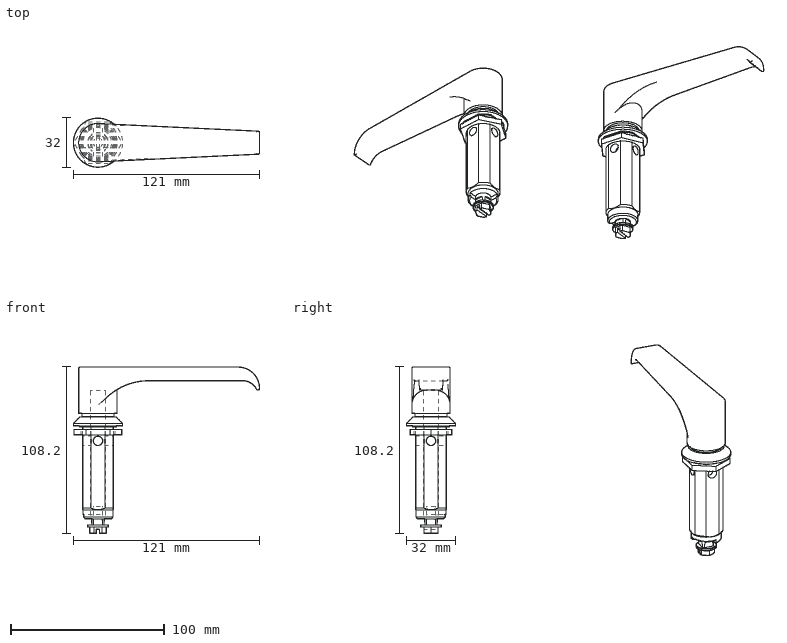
import cadquery as cq
import math


flange_radius = 16.0
rim_height = 1.5
flange_height = 5.8
cone_top_radius = flange_radius - (flange_height - rim_height)
barrel_radius = 11.0
barrel_flats = 20.0
barrel_length = 54.7
barrel_chamfer = 1.2
collar_radius = barrel_radius - barrel_chamfer
collar_end = 60.4
collar_chamfer = 1.0
notch_depth = 2.8
notch_offset = 3.0
cross_hole_diameter = 6.0
cross_hole_drop = 9.8

gasket_radius = 13.5
gasket_flats = 24.0
gasket_thickness = 0.8
nut_flats = 27.0
nut_top = -2.3
nut_thickness = 3.7

spindle_radius = 5.0
square_root = 8.4
square_tip = 7.9
spindle_end = 64.3
spindle_top = 23.0

washer_radius = 6.7
washer_thickness = 1.6
washer_chamfer = 0.3
screw_flats = 9.4
screw_head_height = 4.05
screw_head_chamfer = 0.4
screw_thread_radius = 3.0
screw_reach = 12.0
slot_width = 2.0
slot_depth = 2.7

running_gap = 0.2
neck_radius = 10.5
neck_height = 2.0
hub_radius = 12.5
hub_height = 30.2
arm_tip_x = 105.0
arm_tip_half_width = 7.5
arm_thickness = 9.0
underside_radius = 40.0
underside_start_x = 33.0
tip_outer_radius = 14.0
tip_inner_radius = 10.0
tip_inner_start_x = 94.0
tip_inner_end_x = 103.0
tip_nose_radius = 1.15
top_fillet = 1.0
lower_fillet = 0.7
root_clearance = 1.0
selection_margin = 0.1


def disc(radius, top, height):
    """Round disc on the spindle axis, reaching down from its top."""
    return cq.Workplane("XY").workplane(offset=top).circle(radius).extrude(-height)


def flatted_disc(radius, flats, top, height):
    """Round disc with four flats, square to X and Y."""
    block = cq.Workplane("XY").workplane(offset=top).rect(flats, flats).extrude(-height)
    return disc(radius, top, height).intersect(block)


def hexagon(flats, top, height):
    """Hexagonal prism with two corners on the X axis."""
    corner_diameter = flats / math.cos(math.pi / 6)
    return cq.Workplane("XY").workplane(offset=top).polygon(6, corner_diameter).extrude(-height)


def make_housing():
    flange = (
        cq.Workplane("XZ")
        .moveTo(0, 0)
        .lineTo(flange_radius, 0)
        .lineTo(flange_radius, rim_height)
        .lineTo(cone_top_radius, flange_height)
        .lineTo(0, flange_height)
        .close()
        .revolve(360, (0, 0, 0), (0, 1, 0))
    )
    barrel_block = cq.Workplane("XY").rect(barrel_flats, barrel_flats).extrude(-barrel_length)
    barrel = disc(barrel_radius, 0, barrel_length).faces("<Z").chamfer(barrel_chamfer)
    barrel = barrel.intersect(barrel_block)

    collar = disc(collar_radius, -barrel_length, collar_end - barrel_length)
    collar = collar.faces("<Z").chamfer(collar_chamfer)
    notch_size = 2 * flange_radius
    notch = (
        cq.Workplane("XY")
        .box(notch_size, notch_size, notch_depth, centered=False)
        .translate((notch_offset - notch_size, -notch_offset, -collar_end))
    )
    collar = collar.cut(notch)

    housing = flange.union(barrel).union(collar)
    for plane in ("XZ", "YZ"):
        cross_hole = (
            cq.Workplane(plane)
            .center(0, -cross_hole_drop)
            .circle(cross_hole_diameter / 2)
            .extrude(barrel_radius, both=True)
        )
        housing = housing.cut(cross_hole)
    return housing.cut(disc(spindle_radius, flange_height, flange_height + collar_end))


def make_gasket():
    outer = flatted_disc(gasket_radius, gasket_flats, 0, gasket_thickness)
    return outer.cut(flatted_disc(barrel_radius, barrel_flats, 0, gasket_thickness))


def make_nut():
    return hexagon(nut_flats, nut_top, nut_thickness).cut(disc(barrel_radius, nut_top, nut_thickness))


def make_spindle():
    round_part = disc(spindle_radius, spindle_top, spindle_top + collar_end)
    square_length = spindle_end - collar_end
    tapered_square = (
        cq.Workplane("XY")
        .workplane(offset=-collar_end)
        .rect(square_root, square_root)
        .workplane(offset=-square_length)
        .rect(square_tip, square_tip)
        .loft()
    )
    square_part = disc(spindle_radius, -collar_end, square_length).intersect(tapered_square)
    tapped_hole = disc(screw_thread_radius, screw_reach - spindle_end, screw_reach)
    return round_part.union(square_part).cut(tapped_hole)


def make_washer():
    washer = disc(washer_radius, -spindle_end, washer_thickness)
    washer = washer.faces("<Z or >Z").chamfer(washer_chamfer)
    return washer.cut(disc(screw_thread_radius, -spindle_end, washer_thickness))


def make_screw():
    head_top = -spindle_end - washer_thickness
    corner_radius = screw_flats / 2 / math.cos(math.pi / 6)
    chamfered_disc = disc(corner_radius, head_top, screw_head_height)
    chamfered_disc = chamfered_disc.faces("<Z").chamfer(screw_head_chamfer)
    head = hexagon(screw_flats, head_top, screw_head_height).intersect(chamfered_disc)
    slot = (
        cq.Workplane("XY")
        .workplane(offset=head_top - screw_head_height)
        .rect(slot_width, 2 * screw_flats)
        .extrude(slot_depth)
    )
    shank = disc(screw_thread_radius, screw_reach - spindle_end, screw_reach + washer_thickness)
    return head.cut(slot).union(shank)


def make_handle():
    neck_bottom = flange_height + running_gap
    hub_bottom = neck_bottom + neck_height
    top = hub_bottom + hub_height
    underside = top - arm_thickness

    to_tip = math.atan2(arm_tip_half_width, arm_tip_x)
    tangent_angle = to_tip + math.acos(hub_radius / math.hypot(arm_tip_x, arm_tip_half_width))
    tangent_x = hub_radius * math.cos(tangent_angle)
    tangent_y = hub_radius * math.sin(tangent_angle)
    plan = (
        cq.Workplane("XY")
        .workplane(offset=hub_bottom)
        .moveTo(tangent_x, tangent_y)
        .lineTo(arm_tip_x, arm_tip_half_width)
        .lineTo(arm_tip_x, -arm_tip_half_width)
        .lineTo(tangent_x, -tangent_y)
        .close()
        .extrude(hub_height)
    )

    root_drop = underside_radius - math.sqrt(underside_radius**2 - (underside_start_x - tangent_x) ** 2)
    curl_run = tip_inner_end_x - tip_inner_start_x
    curl_drop = tip_inner_radius - math.sqrt(tip_inner_radius**2 - curl_run**2)
    side = (
        cq.Workplane("XZ")
        .moveTo(tangent_x, top)
        .lineTo(arm_tip_x - tip_outer_radius, top)
        .tangentArcPoint((arm_tip_x, top - tip_outer_radius), relative=False)
        .radiusArc((tip_inner_end_x, underside - curl_drop), tip_nose_radius)
        .radiusArc((tip_inner_start_x, underside), -tip_inner_radius)
        .lineTo(underside_start_x, underside)
        .radiusArc((tangent_x, underside - root_drop), -underside_radius)
        .close()
        .extrude(2 * hub_radius, both=True)
    )
    arm = plan.intersect(side)

    lower_corners = cq.selectors.BoxSelector(
        (tangent_x + root_clearance, -hub_radius, hub_bottom),
        (tip_inner_end_x, hub_radius, underside + selection_margin),
    )
    on_flanks = arm.faces("<Y or >Y").edges(lower_corners)
    arm = on_flanks.fillet(lower_fillet)
    hub = disc(hub_radius, top, hub_height)
    handle = hub.union(arm)
    handle = handle.faces(">Z").edges("not |Y").fillet(top_fillet)
    neck = disc(neck_radius, hub_bottom, neck_height)
    spindle_bore = disc(spindle_radius, spindle_top, spindle_top - neck_bottom)
    return handle.union(neck).cut(spindle_bore)


housing = make_housing()
gasket = make_gasket()
nut = make_nut()
spindle = make_spindle()
washer = make_washer()
screw = make_screw()
handle = make_handle()

result = cq.Compound.makeCompound(
    [
        handle.val(),
        housing.val(),
        gasket.val(),
        nut.val(),
        spindle.val(),
        washer.val(),
        screw.val(),
    ]
)